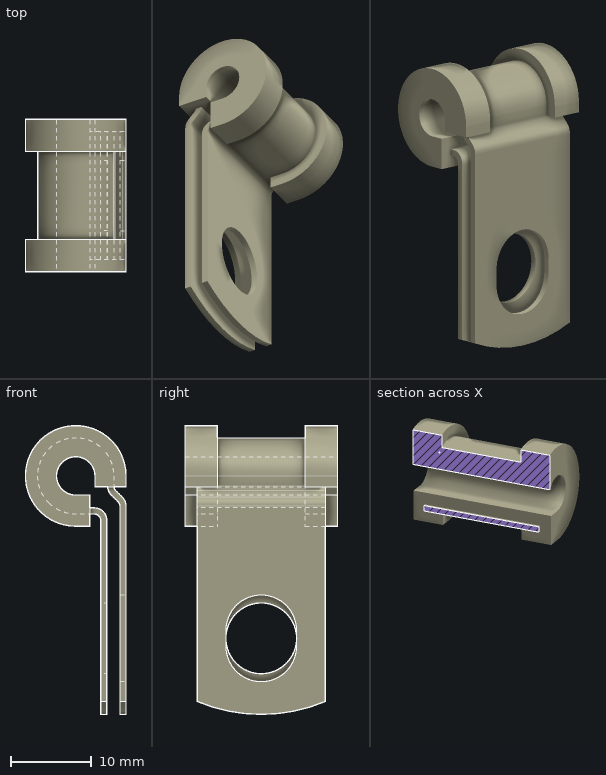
import cadquery as cq
import math

flange_diameter = 12.5
flange_radius = flange_diameter / 2
bore_radius = 2.35
cushion_length = 18.93
flange_width = 4.05
upper_end_drop = 1.35
lower_end_reach = 1.75

strap_radius = 4.72
strap_thickness = 0.8
strap_width = 15.9
bend_radius = 0.8
front_leg_face = 3.08
offset_bend_start = 1.25
offset_bend_angle = math.radians(45)

overall_height = 35.78
leg_bottom = flange_radius - overall_height
end_sagitta = 1.6
hole_diameter = 8.73
hole_height = -20.1
slot_travel = 2.0

strap_inner_radius = strap_radius - strap_thickness
bend_outer_radius = bend_radius + strap_thickness


def extrude_centred(profile, length):
    """Extrude an XZ profile symmetrically about Y = 0."""
    return profile.extrude(length / 2, both=True)


def split_ring(outer, inner, length):
    """C-shaped ring with straight tangent ends, open at +X, -Z."""
    diagonal = math.sqrt(0.5)
    profile = (
        cq.Workplane("XZ")
        .moveTo(outer, -upper_end_drop)
        .lineTo(outer, 0)
        .threePointArc((-outer * diagonal, outer * diagonal), (0, -outer))
        .lineTo(lower_end_reach, -outer)
        .lineTo(lower_end_reach, -inner)
        .lineTo(0, -inner)
        .threePointArc((-inner * diagonal, inner * diagonal), (inner, 0))
        .lineTo(inner, -upper_end_drop)
        .close()
    )
    return extrude_centred(profile, length)


def flange(side):
    offset = side * (cushion_length - flange_width) / 2
    return split_ring(flange_radius, bore_radius, flange_width).translate((0, offset, 0))


def front_leg():
    """Leg that turns down from the lower end of the ring in a quarter bend."""
    outer_face = front_leg_face + strap_thickness
    bend_x = outer_face - bend_outer_radius
    bend_z = -strap_inner_radius - bend_outer_radius
    diagonal = math.sqrt(0.5)
    profile = (
        cq.Workplane("XZ")
        .moveTo(0, -strap_inner_radius)
        .lineTo(bend_x, -strap_inner_radius)
        .threePointArc(
            (bend_x + bend_outer_radius * diagonal, bend_z + bend_outer_radius * diagonal),
            (outer_face, bend_z),
        )
        .lineTo(outer_face, leg_bottom)
        .lineTo(front_leg_face, leg_bottom)
        .lineTo(front_leg_face, bend_z)
        .threePointArc(
            (bend_x + bend_radius * diagonal, bend_z + bend_radius * diagonal),
            (bend_x, -strap_radius),
        )
        .lineTo(0, -strap_radius)
        .close()
    )
    return extrude_centred(profile, strap_width)


def rear_leg():
    """Leg that steps outward to the flange edge through an offset bend."""
    outer_face = flange_radius
    inner_face = outer_face - strap_thickness
    upper_centre_x = strap_radius + bend_radius
    lower_centre_x = inner_face - bend_radius
    bend_radii = bend_radius + bend_outer_radius
    bend_shift = bend_radii * (1 - math.cos(offset_bend_angle))
    slope_shift = outer_face - strap_radius - bend_shift
    upper_z = -offset_bend_start
    lower_z = (
        upper_z - bend_radii * math.sin(offset_bend_angle) - slope_shift / math.tan(offset_bend_angle)
    )

    def upper_point(radius, angle):
        return (upper_centre_x - radius * math.cos(angle), upper_z - radius * math.sin(angle))

    def lower_point(radius, angle):
        return (lower_centre_x + radius * math.cos(angle), lower_z + radius * math.sin(angle))

    full, half = offset_bend_angle, offset_bend_angle / 2
    profile = (
        cq.Workplane("XZ")
        .moveTo(strap_radius, 0)
        .lineTo(strap_radius, upper_z)
        .threePointArc(upper_point(bend_radius, half), upper_point(bend_radius, full))
        .lineTo(*lower_point(bend_outer_radius, full))
        .threePointArc(lower_point(bend_outer_radius, half), (outer_face, lower_z))
        .lineTo(outer_face, leg_bottom)
        .lineTo(inner_face, leg_bottom)
        .lineTo(inner_face, lower_z)
        .threePointArc(lower_point(bend_radius, half), lower_point(bend_radius, full))
        .lineTo(*upper_point(bend_outer_radius, full))
        .threePointArc(upper_point(bend_outer_radius, half), (strap_inner_radius, upper_z))
        .lineTo(strap_inner_radius, 0)
        .close()
    )
    return extrude_centred(profile, strap_width)


def leg_outline():
    """Block along X whose rounded lower edge trims both legs."""
    half_width = strap_width / 2
    corner_z = leg_bottom + end_sagitta
    return (
        cq.Workplane("YZ")
        .moveTo(-half_width, 0)
        .lineTo(-half_width, corner_z)
        .threePointArc((0, leg_bottom), (half_width, corner_z))
        .lineTo(half_width, 0)
        .close()
        .extrude(flange_radius)
    )


def bolt_hole(depth):
    return cq.Workplane("YZ").center(0, hole_height).circle(hole_diameter / 2).extrude(depth)


def bolt_slot(depth):
    """Vertical slot that leaves room for adjustment against the round hole."""
    return (
        cq.Workplane("YZ")
        .center(0, hole_height)
        .slot2D(hole_diameter + slot_travel, hole_diameter, 90)
        .extrude(depth)
    )


ring = split_ring(strap_radius, bore_radius, cushion_length - 2 * flange_width)
for side in (-1, 1):
    ring = ring.union(flange(side))

legs = front_leg().cut(bolt_hole(flange_radius)).union(rear_leg().cut(bolt_slot(flange_radius)))
legs = legs.intersect(leg_outline())

result = ring.union(legs)